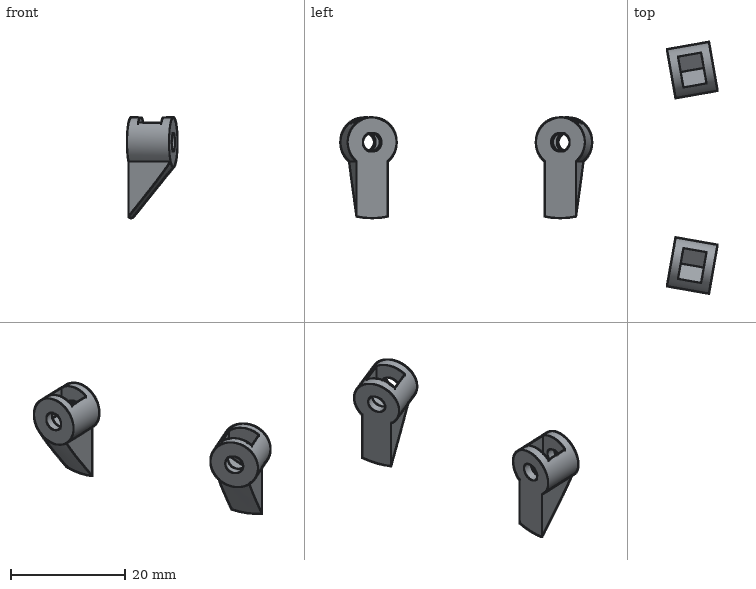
import cadquery as cq
import math

barrel_radius = 4.35
barrel_length = 7.5
bore_diameter = 3.25
arm_width = 5.6
arm_reach = 13.3

pocket_length = 4.1
pocket_width = 5.45
pocket_corner_radius = pocket_width / math.sqrt(3)

lever_tilt = 10.0
overall_span = 44.05
tilt = math.radians(lever_tilt)
lever_half_span = barrel_length / 2 * math.sin(tilt) + barrel_radius * math.cos(tilt)
lever_offset = overall_span / 2 - lever_half_span


def make_barrel():
    return cq.Workplane("YZ").circle(barrel_radius).extrude(barrel_length / 2, both=True)


def make_arm():
    """Slab under the barrel, trimmed by a cone that narrows from the arm tip to the barrel's +X end."""
    near_end = -barrel_length / 2
    far_end = barrel_length / 2
    slab = (
        cq.Workplane("XY")
        .box(barrel_length, arm_width, arm_reach, centered=(True, True, False))
        .translate((0, 0, -arm_reach))
    )
    cone = (
        cq.Workplane("XZ")
        .moveTo(near_end, 0)
        .lineTo(near_end, -arm_reach)
        .lineTo(far_end, -barrel_radius)
        .lineTo(far_end, 0)
        .close()
        .revolve(360, (0, 0, 0), (1, 0, 0))
    )
    return slab.intersect(cone)


def make_pocket():
    """Hexagonal recess with vertical side walls, a V-shaped floor and an open top."""
    half_width = pocket_width / 2
    floor_edge = -pocket_corner_radius / 2
    return (
        cq.Workplane("YZ")
        .moveTo(-half_width, barrel_radius)
        .lineTo(-half_width, floor_edge)
        .lineTo(0, -pocket_corner_radius)
        .lineTo(half_width, floor_edge)
        .lineTo(half_width, barrel_radius)
        .close()
        .extrude(pocket_length / 2, both=True)
    )


def make_bore():
    return cq.Workplane("YZ").circle(bore_diameter / 2).extrude(barrel_length / 2, both=True)


def make_lever(side):
    """One lever; side is +1 or -1 along Y and also sets the direction of its tilt."""
    lever = make_barrel().union(make_arm()).cut(make_pocket()).cut(make_bore())
    return lever.rotate((0, 0, 0), (0, 0, 1), side * lever_tilt).translate((0, side * lever_offset, 0))


levers = [make_lever(side) for side in (-1, 1)]
result = cq.Compound.makeCompound([lever.val() for lever in levers])